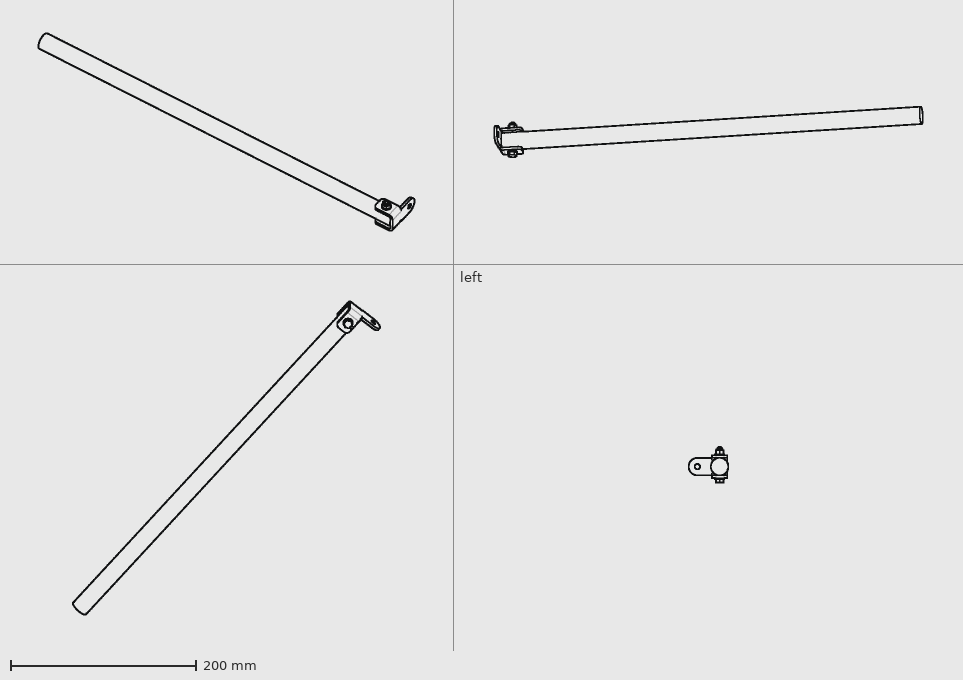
import cadquery as cq
import math

overall_length = 464.0
overall_width = 43.0

bar_diameter = 19.0

plate_thickness = 3.0
bracket_width = 16.5
leg_length = 25.0
bend_radius = 5.0
leg_corner_radius = 4.0
bracket_height = bar_diameter + 2 * plate_thickness
leg_face_z = bracket_height / 2
web_inner_x = overall_length - plate_thickness

tab_width = bar_diameter
tab_tip_y = overall_width - bar_diameter / 2
tab_hole_y = tab_tip_y - tab_width / 2
tab_hole_diameter = 5.5

bolt_x = overall_length - 14.0
bolt_diameter = 5.0
bolt_chamfer = 1.5
bolt_top_z = 21.5
washer_diameter = 10.0
washer_thickness = 1.0
hex_across_flats = 8.5
hex_across_corners = hex_across_flats / math.cos(math.pi / 6)
bolt_head_height = 3.5
nut_hex_height = 4.0
nut_collar_diameter = 7.0
nut_collar_height = 1.5


def make_bar():
    return cq.Workplane("YZ").circle(bar_diameter / 2).extrude(web_inner_x)


def make_bracket():
    outer = (
        cq.Workplane("XY")
        .box(leg_length, bracket_width, bracket_height)
        .translate((overall_length - leg_length / 2, 0, 0))
        .edges(">X and |Y").fillet(bend_radius)
        .edges("<X and |Z").fillet(leg_corner_radius)
    )
    inner = (
        cq.Workplane("XY")
        .box(leg_length, bracket_width, bar_diameter)
        .translate((web_inner_x - leg_length / 2, 0, 0))
        .edges(">X and |Y").fillet(bend_radius - plate_thickness)
    )
    return outer.cut(inner)


def make_tab():
    root_y = bracket_width / 2
    half_width = tab_width / 2
    return (
        cq.Workplane("YZ", origin=(web_inner_x, 0, 0))
        .moveTo(root_y, -half_width)
        .lineTo(tab_hole_y, -half_width)
        .threePointArc((tab_tip_y, 0), (tab_hole_y, half_width))
        .lineTo(root_y, half_width)
        .close()
        .moveTo(tab_hole_y, 0)
        .circle(tab_hole_diameter / 2)
        .extrude(plate_thickness)
    )


def bolt_plane(z):
    return cq.Workplane("XY", origin=(bolt_x, 0, z))


def make_bolt():
    washer_top_z = leg_face_z + washer_thickness
    nut_top_z = washer_top_z + nut_hex_height
    head_bottom_z = -washer_top_z - bolt_head_height

    shank = (
        bolt_plane(-leg_face_z)
        .circle(bolt_diameter / 2)
        .extrude(bolt_top_z + leg_face_z)
        .faces(">Z").chamfer(bolt_chamfer)
    )
    bottom_washer = bolt_plane(-washer_top_z).circle(washer_diameter / 2).extrude(washer_thickness)
    top_washer = bolt_plane(leg_face_z).circle(washer_diameter / 2).extrude(washer_thickness)
    head = bolt_plane(head_bottom_z).polygon(6, hex_across_corners).extrude(bolt_head_height)
    nut = bolt_plane(washer_top_z).polygon(6, hex_across_corners).extrude(nut_hex_height)
    collar = bolt_plane(nut_top_z).circle(nut_collar_diameter / 2).extrude(nut_collar_height)
    return shank.union(bottom_washer).union(top_washer).union(head).union(nut).union(collar)


result = make_bar().union(make_bracket()).union(make_tab()).union(make_bolt())